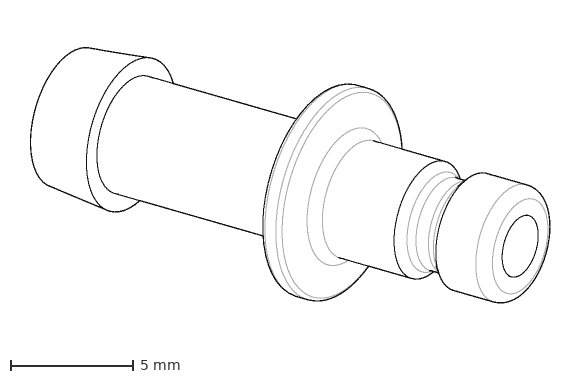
import cadquery as cq
import math

total_length = 22.3
barb_length = 2.99
flange_start = 12.5
flange_rim_width = 0.91
groove_start = 17.75
groove_end = 19.82

tube_diameter = 5.0
bore_diameter = 2.6
barb_tip_diameter = 5.9
barb_diameter = 6.51
flange_diameter = 9.0
groove_diameter = 3.95

flange_taper_angle = 10.0
blend_radius = 0.5
rim_radius = 0.2

tube_radius = tube_diameter / 2
bore_radius = bore_diameter / 2
flange_radius = flange_diameter / 2
groove_radius = groove_diameter / 2

flange_rim_end = flange_start + flange_rim_width
flange_taper = (flange_radius - tube_radius) * math.tan(math.radians(flange_taper_angle))
flange_end = flange_rim_end + flange_taper
groove_depth = tube_radius - groove_radius
groove_floor_start = groove_start + groove_depth
groove_floor_end = groove_end - groove_depth


def round_edge(body, x, edge_radius, fillet_radius):
    """Fillet the circular edge around the X axis at the given place."""
    tolerance = 0.002
    edges = [
        edge
        for edge in body.edges("%CIRCLE").vals()
        if abs(edge.Center().x - x) < tolerance and abs(edge.radius() - edge_radius) < tolerance
    ]
    return body.newObject(edges).fillet(fillet_radius)


half_section = [
    (0, bore_radius),
    (0, barb_tip_diameter / 2),
    (barb_length, barb_diameter / 2),
    (barb_length, tube_radius),
    (flange_start, tube_radius),
    (flange_start, flange_radius),
    (flange_rim_end, flange_radius),
    (flange_end, tube_radius),
    (groove_start, tube_radius),
    (groove_floor_start, groove_radius),
    (groove_floor_end, groove_radius),
    (groove_end, tube_radius),
    (total_length, tube_radius),
    (total_length, bore_radius),
]
body = cq.Workplane("XY").polyline(half_section).close().revolve(360, (0, 0, 0), (1, 0, 0))

for x, edge_radius, fillet_radius in [
    (flange_start, flange_radius, rim_radius),
    (flange_rim_end, flange_radius, rim_radius),
    (flange_start, tube_radius, blend_radius),
    (flange_end, tube_radius, blend_radius),
    (groove_floor_start, groove_radius, blend_radius),
    (groove_floor_end, groove_radius, blend_radius),
    (total_length, tube_radius, blend_radius),
]:
    body = round_edge(body, x, edge_radius, fillet_radius)

result = body